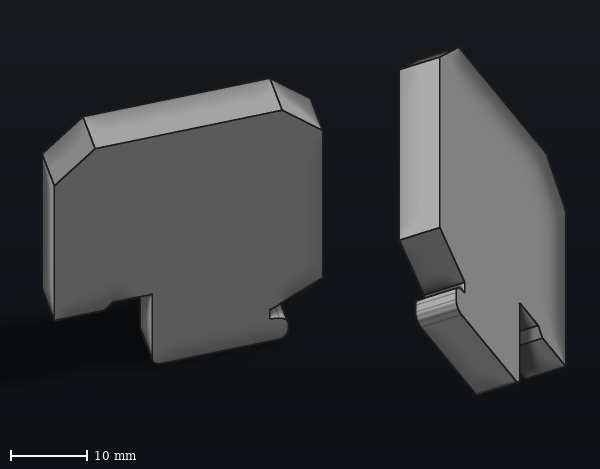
import cadquery as cq

thickness = 6.0
width = 36.5
height = 44.0
top_chamfer = 5.55

shoulder_z = 12.5
notch_depth = 1.25
shoulder_length = 6.78
leg_front_y = 13.35

rear_edge_z = 10.1
neck_inset = 7.2
neck_top_z = 6.05
neck_bottom_z = 4.35
foot_inset = 4.7
foot_lip_z = 3.85
foot_rear_radius = 1.5
foot_front_radius = 1.2

notch_z = shoulder_z + notch_depth
notch_front_y = shoulder_length + notch_depth
neck_y = width - neck_inset
foot_rear_y = width - foot_inset

profile = [
    (leg_front_y, 0),
    (leg_front_y, notch_z),
    (notch_front_y, notch_z),
    (shoulder_length, shoulder_z),
    (0, shoulder_z),
    (0, height - top_chamfer),
    (top_chamfer, height),
    (width - top_chamfer, height),
    (width, height - top_chamfer),
    (width, rear_edge_z),
    (neck_y, neck_top_z),
    (neck_y, neck_bottom_z),
    (foot_rear_y, foot_lip_z),
    (foot_rear_y, 0),
]
plate = cq.Workplane("YZ").polyline(profile).close().extrude(thickness)


def round_corner(body, y, z, radius):
    """Round the edge running through the thickness at (y, z)."""
    corner = cq.selectors.NearestToPointSelector((thickness / 2, y, z))
    return body.edges("|X").edges(corner).fillet(radius)


plate = round_corner(plate, leg_front_y, 0, foot_front_radius)
plate = round_corner(plate, foot_rear_y, 0, foot_rear_radius)
plate = round_corner(plate, foot_rear_y, foot_lip_z, foot_rear_radius)

result = plate